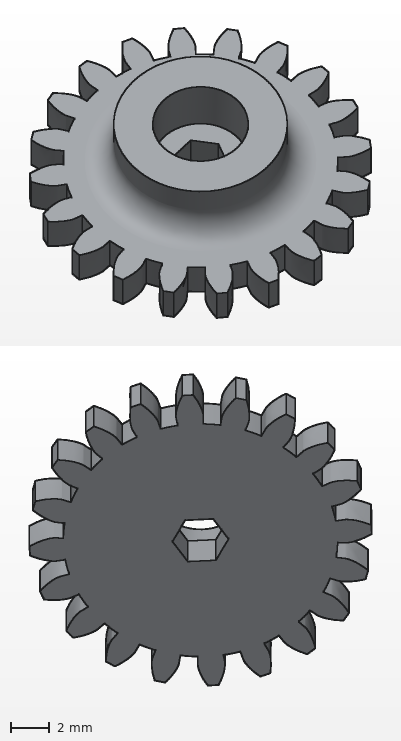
import cadquery as cq
import math

OVERALL_SIZE = 17.57
TOOTH_COUNT = 20
TOOTH_ROTATION = 5.0
PRESSURE_ANGLE = math.radians(20)
DEDENDUM_FACTOR = 1.2
FLANK_POINTS = 7

TOTAL_HEIGHT = 5.0
GEAR_THICKNESS = 2.0
HUB_RADIUS = 8.9 / 2
HUB_FILLET = 1.5
BORE_RADIUS = 4.9 / 2
HEX_ACROSS_FLATS = 2.5


def involute(angle):
    """Polar angle swept by an involute at the given pressure angle."""
    return math.tan(angle) - angle


base_half_angle = math.pi / (2 * TOOTH_COUNT) + involute(PRESSURE_ANGLE)
tip_pressure_angle = math.acos(math.cos(PRESSURE_ANGLE) * TOOTH_COUNT / (TOOTH_COUNT + 2))
tip_half_angle = base_half_angle - involute(tip_pressure_angle)

corner_angle = math.radians(TOOTH_ROTATION) - tip_half_angle
tip_radius = OVERALL_SIZE / 2 / math.cos(corner_angle)
module = 2 * tip_radius / (TOOTH_COUNT + 2)
pitch_radius = module * TOOTH_COUNT / 2
base_radius = pitch_radius * math.cos(PRESSURE_ANGLE)
root_radius = pitch_radius - DEDENDUM_FACTOR * module


def polar(radius, angle):
    return (radius * math.cos(angle), radius * math.sin(angle))


def flank_points(side):
    """Involute flank from base circle to tip; side is -1 or +1."""
    points = []
    for i in range(FLANK_POINTS):
        angle = tip_pressure_angle * i / (FLANK_POINTS - 1)
        radius = base_radius / math.cos(angle)
        points.append(polar(radius, side * (base_half_angle - involute(angle))))
    return points


def make_tooth():
    """One tooth on the +X axis, reaching into the disk so that the two overlap."""
    right = flank_points(-1)
    left = flank_points(1)[::-1]
    inner_radius = root_radius / 2
    return (
        cq.Workplane("XY")
        .moveTo(*polar(inner_radius, -base_half_angle))
        .lineTo(*right[0])
        .spline(right[1:], includeCurrent=True)
        .lineTo(*left[0])
        .spline(left[1:], includeCurrent=True)
        .lineTo(*polar(inner_radius, base_half_angle))
        .close()
        .extrude(GEAR_THICKNESS)
    )


def make_hub():
    """Disk and hub in one revolved profile, with a concave fillet between them."""
    fillet_outer = HUB_RADIUS + HUB_FILLET
    fillet_top = GEAR_THICKNESS + HUB_FILLET
    middle_offset = HUB_FILLET * math.sqrt(0.5)
    return (
        cq.Workplane("XZ")
        .lineTo(root_radius, 0)
        .lineTo(root_radius, GEAR_THICKNESS)
        .lineTo(fillet_outer, GEAR_THICKNESS)
        .threePointArc(
            (fillet_outer - middle_offset, fillet_top - middle_offset),
            (HUB_RADIUS, fillet_top),
        )
        .lineTo(HUB_RADIUS, TOTAL_HEIGHT)
        .lineTo(0, TOTAL_HEIGHT)
        .close()
        .revolve(360, (0, 0, 0), (0, 1, 0))
    )


result = make_hub()

tooth = make_tooth()
for index in range(TOOTH_COUNT):
    tooth_angle = TOOTH_ROTATION + 360 / TOOTH_COUNT * index
    result = result.union(tooth.rotate((0, 0, 0), (0, 0, 1), tooth_angle))

bore = cq.Workplane("XY", origin=(0, 0, GEAR_THICKNESS)).circle(BORE_RADIUS).extrude(TOTAL_HEIGHT)
result = result.cut(bore)

hex_corner_diameter = HEX_ACROSS_FLATS / math.cos(math.pi / 6)
hex_hole = cq.Workplane("XY").polygon(6, hex_corner_diameter).extrude(TOTAL_HEIGHT)
result = result.cut(hex_hole)